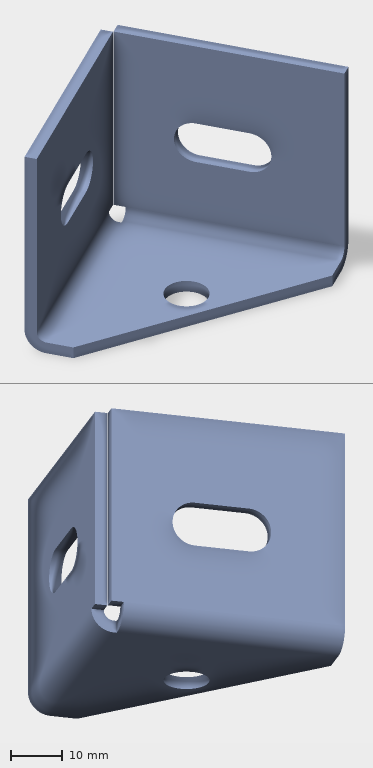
import cadquery as cq

side = 50.0
height = 45.0

thickness = 2.5
inner_radius = 2.0
bend_height = thickness + inner_radius

wall_gap = 0.1
wall_start = thickness + wall_gap
relief = wall_start + thickness

end_width = 10.0
slot_length = 20.0
opening_width = 9.0


def flange(wall_offset):
    """Wall along Y at X = 0, joined by a bend to a strip of floor."""
    wall = cq.Workplane("XY").box(
        thickness, side - wall_offset, height - bend_height, centered=False
    ).translate((0, 0, bend_height))

    bend = (
        cq.Workplane("XZ")
        .moveTo(0, bend_height)
        .radiusArc((bend_height, 0), -bend_height)
        .lineTo(bend_height, thickness)
        .radiusArc((thickness, bend_height), inner_radius)
        .close()
        .extrude(-(side - relief))
    )

    slot = (
        cq.Workplane("YZ")
        .center(side / 2, height / 2)
        .slot2D(slot_length, opening_width)
        .extrude(thickness)
    )
    return wall.union(bend).cut(slot)


def floor():
    """Flat floor with a relieved inner corner, a diagonal cut and a hole."""
    plate = (
        cq.Workplane("XY")
        .moveTo(bend_height, 0)
        .lineTo(end_width, 0)
        .lineTo(side, side - end_width)
        .lineTo(side, side - bend_height)
        .lineTo(relief, side - bend_height)
        .lineTo(relief, side - relief)
        .lineTo(bend_height, side - relief)
        .close()
        .extrude(thickness)
    )
    hole = cq.Workplane("XY").center(side / 2, side / 2).circle(opening_width / 2).extrude(thickness)
    return plate.cut(hole)


left_flange = flange(wall_start)

back_flange = (
    left_flange.mirror("YZ")
    .rotate((0, 0, 0), (0, 0, 1), 90)
    .translate((side, side, 0))
)

result = floor().union(left_flange).union(back_flange)